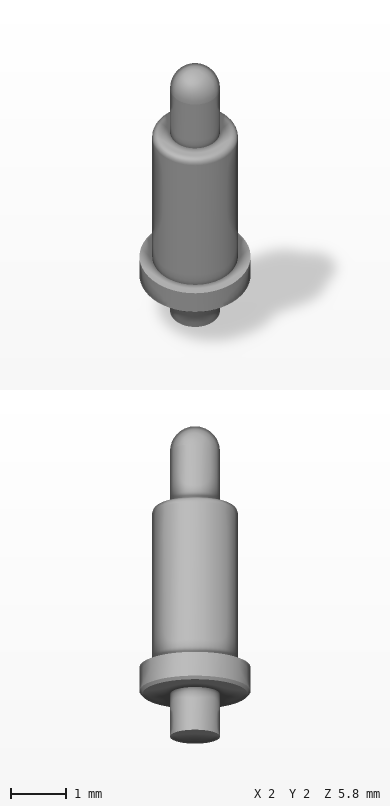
import cadquery as cq

total_height = 5.8
pin_diameter = 0.9
barrel_diameter = 1.54
flange_diameter = 2.0

tail_length = 0.8
flange_thickness = 0.5
barrel_length = 3.0
barrel_rim_radius = 0.12
flange_chamfer = 0.05

flange_top = tail_length + flange_thickness
barrel_top = flange_top + barrel_length
plunger_length = total_height - barrel_top
dome_radius = pin_diameter / 2


def cylinder(diameter, bottom, length):
    """Solid cylinder on the Z axis, starting at the given height."""
    return cq.Workplane("XY").workplane(offset=bottom).circle(diameter / 2).extrude(length)


tail = cylinder(pin_diameter, 0, tail_length)

flange = cylinder(flange_diameter, tail_length, flange_thickness).faces("<Z").edges().chamfer(flange_chamfer)

barrel = cylinder(barrel_diameter, flange_top, barrel_length).faces(">Z").edges().fillet(barrel_rim_radius)

plunger_shank = cylinder(pin_diameter, barrel_top, plunger_length - dome_radius)
dome = cq.Workplane("XY").sphere(dome_radius).translate((0, 0, total_height - dome_radius))
plunger = plunger_shank.union(dome)

result = tail.union(flange).union(barrel).union(plunger)